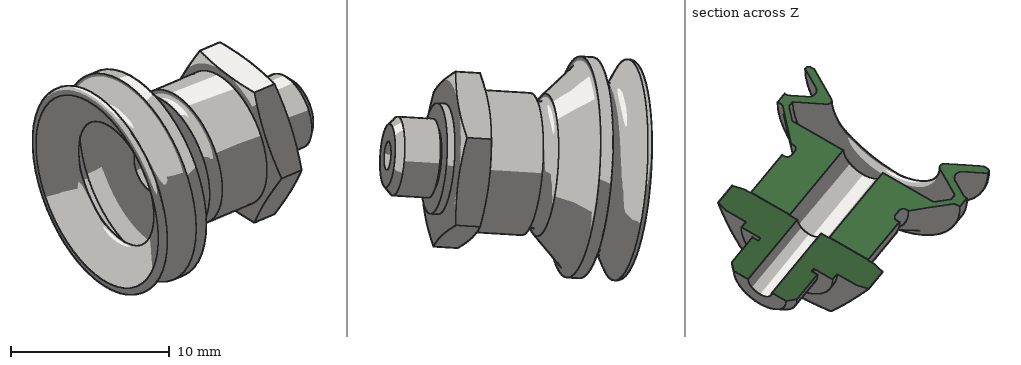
import cadquery as cq
import math

TOTAL_LENGTH = 15.5
TOLERANCE = 0.0002

RIM_RADIUS = 14.0 / 2
LIP_ROUND = 0.22
LIP_HEIGHT = 0.33
FOLD_ANGLE = math.radians(30)
FOLD_ROUND = 0.46
FOLD_Y = 1.52
RIM_START_Y = 2.59
RIM_END_Y = 3.4
RIM_BLEND = 0.31
SLEEVE_RADIUS = 9.0 / 2
NECK_RADIUS = 8.0 / 2
NECK_FILLET = 0.31
SHOULDER_Y = 5.5
SLEEVE_START_Y = 6.5

MOUTH_RADIUS = 6.48
THROAT_RADIUS = 4.18
THROAT_ROUND = 0.31
CAVITY_RADIUS = 12.4 / 2
FLOOR_CORNER_RADIUS = 5.41
FLOOR_BLEND = 0.15
FLOOR_Y = 4.01
CUP_BORE_RADIUS = 3.0 / 2

HEX_FLATS = 10.0
HEX_START_Y = 10.0
HEX_THICKNESS = 2.0
HEX_CHAMFER_ANGLE = math.radians(15)
COLLAR_RADIUS = 7.0 / 2
COLLAR_THICKNESS = 0.5
UNDERCUT_RADIUS = 4.1 / 2
UNDERCUT_LENGTH = 0.2
THREAD_RADIUS = 5.0 / 2
THREAD_CHAMFER = 0.5
FITTING_BORE_RADIUS = 1.8 / 2


def revolve_about_y(profile):
    return profile.close().revolve(360, (0, 0, 0), (0, 1, 0))


def cylinder(radius, start_y, end_y):
    return cq.Workplane("XZ", origin=(0, start_y, 0)).circle(radius).extrude(start_y - end_y)


def is_circle_at(edge, radius, y):
    return math.isclose(edge.radius(), radius, abs_tol=TOLERANCE) and math.isclose(
        edge.Center().y, y, abs_tol=TOLERANCE
    )


def make_cup_outside():
    slope = math.tan(FOLD_ANGLE)
    shoulder_foot_radius = SLEEVE_RADIUS + SHOULDER_Y - RIM_END_Y
    fold_half_width = FOLD_ROUND * math.cos(FOLD_ANGLE)
    fold_edge_radius = RIM_RADIUS - (FOLD_Y - fold_half_width - LIP_HEIGHT) / slope
    fold_foot_radius = fold_edge_radius + (RIM_START_Y - FOLD_Y - fold_half_width) / slope
    fold_bottom_radius = fold_edge_radius - FOLD_ROUND * (1 - math.sin(FOLD_ANGLE))
    round_middle = LIP_ROUND * (1 - math.sqrt(0.5))
    fillet_middle = NECK_FILLET * (1 - math.sqrt(0.5))
    profile = (
        cq.Workplane("XY")
        .moveTo(0, 0)
        .lineTo(RIM_RADIUS - LIP_ROUND, 0)
        .threePointArc((RIM_RADIUS - round_middle, round_middle), (RIM_RADIUS, LIP_ROUND))
        .lineTo(RIM_RADIUS, LIP_HEIGHT)
        .lineTo(fold_edge_radius, FOLD_Y - fold_half_width)
        .threePointArc((fold_bottom_radius, FOLD_Y), (fold_edge_radius, FOLD_Y + fold_half_width))
        .lineTo(fold_foot_radius, RIM_START_Y)
        .lineTo(RIM_RADIUS, RIM_START_Y)
        .lineTo(RIM_RADIUS, RIM_END_Y)
        .lineTo(shoulder_foot_radius, RIM_END_Y)
        .lineTo(SLEEVE_RADIUS, SHOULDER_Y)
        .lineTo(NECK_RADIUS + NECK_FILLET, SHOULDER_Y)
        .threePointArc(
            (NECK_RADIUS + fillet_middle, SHOULDER_Y + fillet_middle),
            (NECK_RADIUS, SHOULDER_Y + NECK_FILLET),
        )
        .lineTo(NECK_RADIUS, SLEEVE_START_Y - NECK_FILLET)
        .threePointArc(
            (NECK_RADIUS + fillet_middle, SLEEVE_START_Y - fillet_middle),
            (NECK_RADIUS + NECK_FILLET, SLEEVE_START_Y),
        )
        .lineTo(SLEEVE_RADIUS, SLEEVE_START_Y)
        .lineTo(SLEEVE_RADIUS, HEX_START_Y)
        .lineTo(0, HEX_START_Y)
    )
    cup = revolve_about_y(profile)
    rim_corners = cup.edges("%CIRCLE").filter(
        lambda edge: is_circle_at(edge, fold_foot_radius, RIM_START_Y)
        or is_circle_at(edge, shoulder_foot_radius, RIM_END_Y)
    )
    return rim_corners.fillet(RIM_BLEND)


def make_cup_cavity():
    slope = math.tan(FOLD_ANGLE)
    throat_half_width = THROAT_ROUND * math.cos(FOLD_ANGLE)
    throat_edge_radius = THROAT_RADIUS + THROAT_ROUND * (1 - math.sin(FOLD_ANGLE))
    throat_start_y = (MOUTH_RADIUS - throat_edge_radius) * slope
    throat_y = throat_start_y + throat_half_width
    throat_end_y = throat_y + throat_half_width
    cone_end_y = throat_end_y + (CAVITY_RADIUS - throat_edge_radius) * slope
    roof_start_y = FLOOR_Y - (CAVITY_RADIUS - FLOOR_CORNER_RADIUS)
    profile = (
        cq.Workplane("XY")
        .moveTo(0, 0)
        .lineTo(MOUTH_RADIUS, 0)
        .lineTo(throat_edge_radius, throat_start_y)
        .threePointArc((THROAT_RADIUS, throat_y), (throat_edge_radius, throat_end_y))
        .lineTo(CAVITY_RADIUS, cone_end_y)
        .lineTo(CAVITY_RADIUS, roof_start_y)
        .lineTo(FLOOR_CORNER_RADIUS, FLOOR_Y)
        .lineTo(0, FLOOR_Y)
    )
    return revolve_about_y(profile).faces(">Y").edges().fillet(FLOOR_BLEND)


def make_suction_cup():
    bore = cylinder(CUP_BORE_RADIUS, 0, HEX_START_Y)
    return make_cup_outside().cut(make_cup_cavity()).cut(bore)


def make_hexagon():
    corner_radius = HEX_FLATS / math.sqrt(3)
    flat_radius = HEX_FLATS / 2
    chamfer_height = (corner_radius - flat_radius) * math.tan(HEX_CHAMFER_ANGLE)
    end_y = HEX_START_Y + HEX_THICKNESS
    prism = (
        cq.Workplane("XZ", origin=(0, HEX_START_Y, 0))
        .polygon(6, 2 * corner_radius)
        .extrude(-HEX_THICKNESS)
    )
    envelope = revolve_about_y(
        cq.Workplane("XY")
        .moveTo(0, HEX_START_Y)
        .lineTo(flat_radius, HEX_START_Y)
        .lineTo(corner_radius, HEX_START_Y + chamfer_height)
        .lineTo(corner_radius, end_y - chamfer_height)
        .lineTo(flat_radius, end_y)
        .lineTo(0, end_y)
    )
    return prism.intersect(envelope)


def make_fitting():
    collar_start_y = HEX_START_Y + HEX_THICKNESS
    collar_end_y = collar_start_y + COLLAR_THICKNESS
    thread_start_y = collar_end_y + UNDERCUT_LENGTH
    collar = cylinder(COLLAR_RADIUS, collar_start_y, collar_end_y)
    undercut = cylinder(UNDERCUT_RADIUS, collar_end_y, thread_start_y)
    thread = cylinder(THREAD_RADIUS, thread_start_y, TOTAL_LENGTH).faces(">Y").chamfer(THREAD_CHAMFER)
    bore = cylinder(FITTING_BORE_RADIUS, HEX_START_Y, TOTAL_LENGTH)
    return make_hexagon().union(collar).union(undercut).union(thread).cut(bore)


suction_cup = make_suction_cup()
fitting = make_fitting()

result = cq.Compound.makeCompound([suction_cup.val(), fitting.val()])